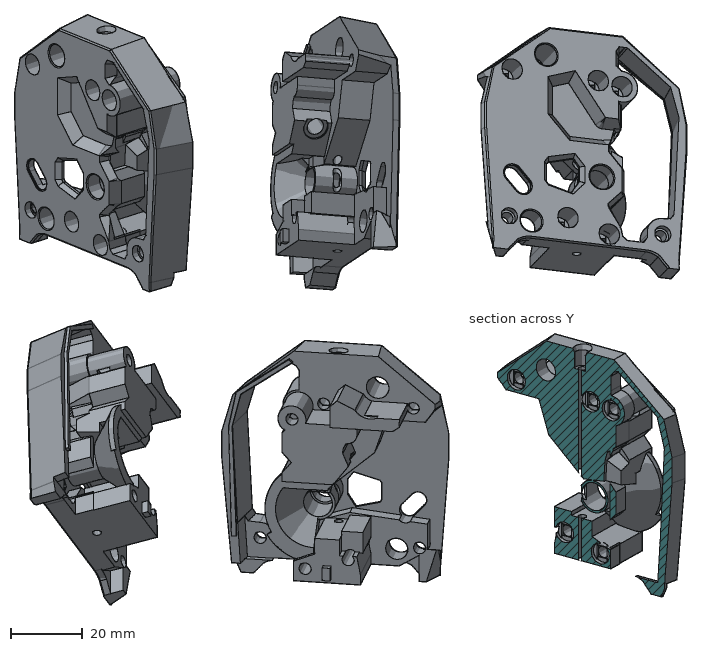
import cadquery as cq
import math


plate_depth = 2.35
rib_depth = 6.2
foot_depth = 7.9
frame_depth = 11.75
hub_depth = 14.75
funnel_lip_start = 20.0
funnel_depth = 21.5
tower_depth = 22.8
total_depth = 24.7
far = 60.0

outline_center = -1.1
front_chamfer = 0.45
top_z = 34.345
bottom_z = -34.345
arch_z = -30.1
foot_relief_z = -30.2
back_half_width = 32.525
rail_draft = 2.645
top_draft = 0.95

pocket_depth = 3.0
spill_depth = 5.5
pocket_taper = 38.0
window_lip = 1.7

screw_boss_xz = (9.45, 18.2)
corner_boss_xz = (21.5, -24.3)
boss_radius = 4.6
rear_boss_radius = 4.0

hub_xz = (3.5, -9.45)
hub_bore_diameter = 8.2
hub_front_diameter = 7.0
hub_radius = 4.9
funnel_radius = 13.9
funnel_flare_radius = funnel_radius + funnel_depth - funnel_lip_start

screw_holes = [(-23.0, 19.55), (2.43, 19.15), screw_boss_xz, (-6.5, -22.8), (5.7, -26.25)]
screw_diameter = 3.4
screw_head_diameter = 6.0
screw_head_depth = 8.0
bridge_step = 0.3
corner_holes = [(-23.8, -24.3), corner_boss_xz]
corner_head_diameter = 4.7
corner_head_depth = 2.0
access_holes = [((-12.9, 25.05), 6.4), ((-17.3, -25.0), 6.25), (hub_xz, hub_front_diameter)]
access_chamfer = 0.3


def back_facing_plane(y):
    """Plane at depth y whose extrusions run towards the back; its second axis is -Z."""
    return cq.Workplane(cq.Plane(origin=(0, y, 0), xDir=(1, 0, 0), normal=(0, 1, 0)))


def flip(points):
    return [(x, -z) for x, z in points]


def prism(points, y_start, y_end, taper=0):
    sketch = back_facing_plane(y_start).polyline(flip(points)).close()
    return sketch.extrude(y_end - y_start, taper=taper)


def cylinder(center, radius, y_start, y_end):
    sketch = back_facing_plane(y_start).center(center[0], -center[1])
    return sketch.circle(radius).extrude(y_end - y_start)


def cone(center, radius_start, radius_end, y_start, y_end):
    axis_point = cq.Vector(center[0], y_start, center[1])
    return cq.Workplane(
        cq.Solid.makeCone(radius_start, radius_end, y_end - y_start, axis_point, cq.Vector(0, 1, 0))
    )


def ruled(front_points, back_points, y_start, y_end):
    sketch = back_facing_plane(y_start).polyline(flip(front_points)).close()
    sketch = sketch.workplane(offset=y_end - y_start).polyline(flip(back_points)).close()
    return sketch.loft(ruled=True)


def box(x_start, x_end, y_start, y_end, z_start, z_end):
    size = (x_end - x_start, y_end - y_start, z_end - z_start)
    return cq.Workplane("XY").box(*size, centered=False).translate((x_start, y_start, z_start))


def shell_outline(side_inset, top_inset):
    """Symmetric outline of the shell, drawn in by the given amounts."""
    half = [
        (12.0 - side_inset * 0.42, top_z - top_inset),
        (29.4 - side_inset * 0.7, 20.1 - top_inset * 0.3),
        (back_half_width - side_inset, 9.0),
        (back_half_width - side_inset, 1.3),
        (29.6 - side_inset * 0.75, -31.6),
        (27.8 - side_inset * 0.1, bottom_z),
    ]
    right = [(outline_center + x, z) for x, z in half]
    left = [(outline_center - x, z) for x, z in reversed(half)]
    return right + left


def make_shell():
    edge = shell_outline(rail_draft, top_draft)
    face = shell_outline(rail_draft + front_chamfer, top_draft + front_chamfer)
    back = shell_outline(0, 0)
    shell = ruled(face, edge, 0, front_chamfer)
    return shell.union(ruled(edge, back, front_chamfer, frame_depth))


def cut_bottom_arch(body):
    center, half_top, half_mid, half_foot = -0.35, 17.0, 20.6, 23.4
    mid_z = -31.2
    arch = (
        back_facing_plane(0)
        .moveTo(center - half_foot, -bottom_z)
        .lineTo(center - half_mid, -mid_z)
        .threePointArc((center - half_mid + 1.7, -arch_z + 0.3), (center - half_top, -arch_z))
        .lineTo(center + half_top, -arch_z)
        .threePointArc((center + half_mid - 1.7, -arch_z + 0.3), (center + half_mid, -mid_z))
        .lineTo(center + half_foot, -bottom_z)
        .close()
        .extrude(frame_depth)
    )
    arch_rim = arch.faces("<Y").wires().toPending().workplane().offset2D(front_chamfer)
    arch_rim = arch_rim.extrude(-front_chamfer, taper=45)
    foot_relief = box(-far, far, foot_depth, far, -far, foot_relief_z)
    return body.cut(arch).cut(arch_rim).cut(foot_relief)


def cut_rear_hollow(body):
    """Leave the thin plate at the left, below the sloping underside of the upper block."""
    def hollow_outline(side_x, underside_z):
        return [
            (-far, 30), (side_x, 30), (side_x, underside_z), (-26.5, 15.6), (9, 15.6),
            (9, -far), (-far, -far),
        ]

    front = hollow_outline(-29.7, 17.5)
    back = hollow_outline(-29.25, 19.8)
    return body.cut(ruled(front, back, plate_depth, frame_depth))


def window_points(left_shift, right_draft):
    s, d = left_shift, right_draft
    return [
        (8.6 + s, 30.0), (11.1 + d * 0.5, 29.9 + d * 0.5), (23.8 + d, 19.65 + d * 0.4), (26.25 + d, 11.0),
        (24.8 + d, -18.0), (23.8 + d, -19.5), (21.5, -19.7), (17.0, -24.3), (16.9, -26.0), (15.9, -27.5),
        (11.0, -27.5), (9.7, -26.4), (9.2, -24.2),
        (5.3 + s, -18.0), (5.3 + s, -17.2), (9.4 + s, -13.1), (9.4 + s, -6.2),
        (5.4 + s, -1.6), (5.4 + s, 0.3),
        (8.4 + s, 6.0), (8.4 + s, 15.0), (9.5, 22.6), (7.7 + s, 24.2), (7.7 + s, 28.6),
    ]


def cut_window(body):
    inner_draft = 2.1
    through = ruled(window_points(window_lip, 0), window_points(window_lip, inner_draft), 0, frame_depth)
    lip = prism(window_points(0, 0), 0, pocket_depth, math.degrees(math.atan(window_lip / pocket_depth)))
    return body.cut(through).cut(lip)


def cut_corner_relief(body):
    """Keep the lower right corner of the window shallow, up to the rail's sloping inner side."""
    left_x, relief_top = 9.2, -17.5

    def relief(top_x, bottom_x):
        top = [(left_x, relief_top), (top_x, relief_top)]
        return top + [(bottom_x, foot_relief_z), (left_x, foot_relief_z)]

    return body.cut(ruled(relief(25.9, 25.1), relief(26.9, 26.1), rib_depth, frame_depth))


def add_pad(body):
    """Raised strip along the back of the rail, beside the window."""
    pad_depth = 12.65
    pad_end_z = -21.8
    inner = [(11.2, 31.1), (25.9, 20.6), (28.3, 11.0), (27.1, pad_end_z)]
    outer = [(28.5, pad_end_z), (29.3, 11.0), (27.2, 21.2), (12.2, 32.0)]
    return body.union(prism(inner + outer, frame_depth, pad_depth))


def add_center_block(body):
    """Block behind the pocket, with its right side sloping outwards to the back."""
    left_side = [(-15.5, 16.0), (-12.0, 5.5), (0.0, -5.0)]
    front_right = [(7.0, -4.0), (7.4, 2.3), (8.0, 5.2), (10.1, 7.0), (10.1, 14.2), (9.0, 17.2)]
    back_right = [(7.0, -4.0), (7.4, 2.3), (8.4, 5.2), (12.27, 8.1), (12.27, 14.2), (9.0, 17.2)]
    return body.union(ruled(left_side + front_right, left_side + back_right, plate_depth, frame_depth))


def add_block_toe(body):
    """Flared lower part of the block, in front of the funnel."""
    toe_start, toe_end = foot_depth, 15.0
    front = [(0.0, -4.0), (12.27, -4.0), (12.27, 0.2), (7.4, 2.3), (0.0, 2.3)]
    back = [(0.0, -6.2), (12.27, -6.2), (12.27, 2.1), (9.6, 5.2), (0.0, 5.2)]
    return body.union(ruled(front, back, toe_start, toe_end))


def add_rear_tower(body):
    """Tower behind the block, with a curved throat on its left side and a screw boss."""
    foot_step_z = -0.6
    tower = (
        back_facing_plane(frame_depth)
        .moveTo(9.0, -17.2)
        .lineTo(-9.0, -17.2)
        .lineTo(-9.0, -14.7)
        .threePointArc((-8.2, -12.8), (-6.2, -12.0))
        .threePointArc((-5.4, -11.0), (-5.0, -8.9))
        .lineTo(-6.6, -5.2)
        .lineTo(-0.4, 3.0)
        .lineTo(12.27, 3.0)
        .lineTo(12.27, -2.1)
        .lineTo(9.6, -5.2)
        .lineTo(12.27, -8.1)
        .lineTo(12.27, -14.0)
        .close()
        .extrude(tower_depth - frame_depth)
    )
    tower = tower.union(cylinder(screw_boss_xz, rear_boss_radius, frame_depth, tower_depth))
    return body.union(tower.cut(box(-far, far, funnel_depth, far, -far, foot_step_z)))


def add_latch_arm(body):
    """Arm behind the upper block, its top scooped at the back and flat in front of the scoop."""
    arm = (
        back_facing_plane(frame_depth)
        .moveTo(-21.4, -20.9)
        .lineTo(-15.0, -20.9)
        .threePointArc((-11.0, -21.0), (-8.8, -22.9))
        .lineTo(-3.7, -25.3)
        .lineTo(-1.7, -23.5)
        .lineTo(-1.7, -17.2)
        .lineTo(-19.5, -17.2)
        .lineTo(-21.4, -18.6)
        .close()
        .extrude(total_depth - frame_depth)
    )
    shelf_z, shelf_depth = 20.9, 23.0
    shelf = box(-16.0, -10.4, frame_depth, shelf_depth, shelf_z - 2.0, shelf_z)
    return body.union(arm).union(shelf)


def add_lower_tower(body):
    wall_depth, tab_depth = 19.0, 24.55
    pad = [
        (-26.0, -25.0), (-26.0, -17.0), (-4.0, -15.0), (5.0, -18.0), (9.0, -24.2),
        (9.0, arch_z), (-18.0, arch_z),
    ]
    tower = [(-10.0, -27.0), (-9.0, -21.7), (3.0, -21.7), (9.0, -24.2), (9.0, arch_z), (-10.0, arch_z)]
    wall = [(-10.0, -15.8), (-4.0, -15.8), (-4.0, -22.0), (-10.0, -22.0)]
    body = body.union(prism(pad, plate_depth, rib_depth)).union(prism(tower, rib_depth, tower_depth))
    body = body.union(prism(wall, rib_depth, wall_depth))
    body = body.union(box(-4.0, 3.0, rib_depth, tower_depth, -22.0, -17.0))
    return body.union(box(-1.7, 0.55, tower_depth, tab_depth, -28.8, -25.0))


def add_foot_corner(body):
    """Wedge that thickens the lower left foot, with a slanted face that leans in towards the back."""
    inner_x, face_start, face_top_z = -23.7, 0.4, -21.4
    front = [(-29.0, -26.1), (-29.0, bottom_z), (inner_x, bottom_z), (inner_x, -26.1)]
    back = [(-29.0, -24.5), (-29.0, bottom_z), (inner_x, bottom_z), (inner_x, -24.5)]
    body = body.union(ruled(front, back, plate_depth, rib_depth))

    def outside_face(foot_x):
        top_x = foot_x - 3.8
        return [(foot_x, bottom_z), (top_x, face_top_z), (-far, face_top_z), (-far, bottom_z)]

    return body.cut(ruled(outside_face(-28.4), outside_face(-25.7), face_start, rib_depth))


def add_hub_and_funnel(body):
    inner_radius = hub_bore_diameter / 2
    outer_start = 6.1
    bore_shoulder = 4.7
    hub = cylinder(hub_xz, hub_radius, plate_depth, hub_depth)
    outer_start_depth = funnel_lip_start + outer_start - funnel_radius
    funnel = cone(hub_xz, outer_start, funnel_radius, outer_start_depth, funnel_lip_start)
    funnel = funnel.union(cylinder(hub_xz, funnel_radius, funnel_lip_start, funnel_depth))
    flare = cone(hub_xz, outer_start, funnel_flare_radius, outer_start_depth, funnel_depth)
    flare_sector = [hub_xz, (20.5, -19.4), (20.5, -30.0), (hub_xz[0], -30.0)]
    funnel = funnel.union(flare.intersect(prism(flare_sector, 0, far)))
    inner_end = inner_radius + funnel_depth - hub_depth
    funnel = funnel.cut(cone(hub_xz, inner_radius, inner_end, hub_depth, funnel_depth))
    keep = [(3.5, 5.0), (20.0, 5.0), (20.0, -24.2), (3.5, -24.2)]
    funnel = funnel.intersect(prism(keep, 0, far))
    bore = cylinder(hub_xz, inner_radius, bore_shoulder, hub_depth)
    return body.union(hub).union(funnel).cut(bore)


def cut_pocket(body):
    pocket = [
        (-12.4, 18.6), (-4.4, 21.3), (4.55, 8.4), (14.0, 8.4), (14.0, 2.0), (4.9, 0.3),
        (-6.0, 0.3), (-12.4, 7.5),
    ]
    spill_front = [(6.6, 6.4), (14.0, 6.4), (14.0, 0.3), (5.6, 0.6)]
    spill_back = [(9.4, 6.4), (14.0, 6.4), (14.0, 0.3), (7.3, 0.6)]
    spill = ruled(spill_front, spill_back, 0, spill_depth)
    return body.cut(prism(pocket, 0, pocket_depth, pocket_taper)).cut(spill)


def cut_opening(body):
    """Five-sided opening with a sloping rim beside the hub."""
    rim_depth = 1.5
    outer = [
        (-13.5, -7.0), (-12.3, -5.3), (-4.5, -3.4), (-1.5, -6.9), (-1.5, -11.9), (-5.0, -15.6),
        (-12.2, -13.8), (-13.5, -12.2),
    ]
    inner = [
        (-12.3, -7.0), (-11.8, -6.3), (-4.4, -4.3), (-2.6, -6.7), (-2.6, -11.0), (-5.0, -14.7),
        (-11.8, -12.9), (-12.3, -12.2),
    ]
    return body.cut(ruled(outer, inner, 0, rim_depth)).cut(prism(inner, 0, far))


def cut_slot(body):
    start, end = (-22.75, -11.4), (-19.75, -14.7)
    middle = ((start[0] + end[0]) / 2, -(start[1] + end[1]) / 2)
    run, drop = end[0] - start[0], start[1] - end[1]
    width = 4.7
    rim_width, rim_depth = 0.35, 0.4
    slot = (
        back_facing_plane(0)
        .center(*middle)
        .slot2D(math.hypot(run, drop) + width, width, math.degrees(math.atan2(drop, run)))
        .extrude(far)
    )
    rim = slot.faces("<Y").wires().toPending().workplane().offset2D(rim_width).extrude(-rim_depth)
    return body.cut(slot).cut(rim)


def cut_screw_hole(body, center):
    """Counterbore stepped to a slot, then a square, then the round shank."""
    x, z = center
    half = screw_diameter / 2
    head = cylinder(center, screw_head_diameter / 2, 0, screw_head_depth)
    slot_end = screw_head_depth + bridge_step
    slot = cylinder(center, screw_head_diameter / 2, screw_head_depth, slot_end)
    slot = slot.intersect(box(x - half, x + half, 0, far, -far, far))
    square = box(x - half, x + half, slot_end, slot_end + bridge_step, z - half, z + half)
    return body.cut(head).cut(slot).cut(square).cut(cylinder(center, half, 0, far))


def cut_front_holes(body):
    for center in screw_holes:
        body = cut_screw_hole(body, center)
    for center in corner_holes:
        body = body.cut(cylinder(center, corner_head_diameter / 2, 0, corner_head_depth))
        body = body.cut(cylinder(center, screw_diameter / 2, 0, far))
    for center, diameter in access_holes:
        radius = diameter / 2
        body = body.cut(cylinder(center, radius, 0, far))
        body = body.cut(cone(center, radius + access_chamfer, radius, 0, access_chamfer))
    return body


def cut_top_hole(body):
    x, y = -1.2, 8.2
    hole_radius, head_radius, sink_radius = 1.2, 2.1, 2.8
    head_floor_z, sink_depth = 28.0, 1.6
    hole = cq.Workplane("XY").center(x, y).circle(hole_radius).extrude(far, both=True)
    head = cq.Workplane("XY", origin=(x, y, head_floor_z)).circle(head_radius).extrude(far)
    sink_start = cq.Vector(x, y, top_z - sink_depth)
    sink = cq.Workplane(cq.Solid.makeCone(head_radius, sink_radius, sink_depth, sink_start))
    return body.cut(hole).cut(head).cut(sink)


def cut_cross_hole(body):
    """Counterbored hole running up into the slanted underside of the rear tower."""
    start = cq.Vector(-6.2, 16.1, 3.3)
    axis = cq.Vector(0.8, 0, 0.6)
    head_radius, head_depth = 3.5, 1.5
    hole_radius, hole_depth = 2.35, 22.0
    head = cq.Solid.makeCylinder(head_radius, head_depth, start, axis)
    hole = cq.Solid.makeCylinder(hole_radius, hole_depth, start, axis)
    return body.cut(cq.Workplane(head)).cut(cq.Workplane(hole))


body = make_shell()
body = cut_rear_hollow(body)
body = cut_window(body)
body = body.union(cylinder(screw_boss_xz, boss_radius, 0, frame_depth))
body = body.union(cylinder(corner_boss_xz, boss_radius, 0, rib_depth))
body = cut_corner_relief(body)
body = cut_bottom_arch(body)
body = add_pad(body)
body = add_center_block(body)
body = add_block_toe(body)
body = add_rear_tower(body)
body = add_latch_arm(body)
body = add_lower_tower(body)
body = add_foot_corner(body)
body = add_hub_and_funnel(body)
body = cut_pocket(body)
body = cut_opening(body)
body = cut_slot(body)
body = cut_front_holes(body)
body = cut_top_hole(body)
body = cut_cross_hole(body)
result = body